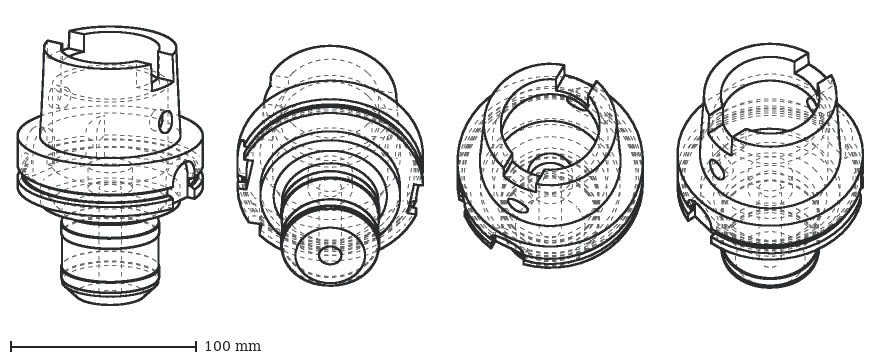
import cadquery as cq

TOTAL_HEIGHT = 140.0
FLANGE_TOP = 90.0
FLANGE_BOTTOM = 61.0
COLLAR_BOTTOM = 53.0
SHANK_TOP = 47.9

FLANGE_RADIUS = 50.0
TAPER_BASE_RADIUS = 38.0
TAPER_TOP_RADIUS = 35.7
COLLAR_RADIUS = 37.7
NECK_CONE_RADIUS = 30.5
SHANK_RADIUS = 26.0
NOSE_RADIUS = 18.8
NOSE_CHAMFER = SHANK_RADIUS - NOSE_RADIUS

GROOVE_TOP = 73.4
GROOVE_BOTTOM = 66.4
GROOVE_FLOOR_RADIUS = 46.3
GROOVE_BEVEL_WIDTH = 2.4
GROOVE_BEVEL_HEIGHT = 1.4

BAND_BOTTOMS = (9.2, 34.3)
BAND_HEIGHT = 6.5
BAND_RISE = 0.4

BORE_RADIUS = 26.6
BORE_LIP_DEPTH = 20.3
UNDERCUT_RADIUS = 31.1
BORE_FLOOR = 73.0
COUNTERBORE_RADIUS = 12.0
COUNTERBORE_FLOOR = 60.2
THROUGH_RADIUS = 6.0

SLOT_WIDTH = 19.7
LEFT_SLOT_DEPTH = 10.0
RIGHT_SLOT_DEPTH = 15.0
POCKET_TOP = 85.0
POCKET_FLOOR_X = 44.1
SIDE_POCKET_Y = 41.3
SIDE_POCKET_FLOOR_X = 31.8
CROSS_HOLE_RADIUS = 6.0
CROSS_HOLE_HEIGHT = 105.1


def make_cylinder(radius, bottom, top):
    return cq.Workplane("XY").workplane(offset=bottom).circle(radius).extrude(top - bottom)


def make_body():
    """Revolve the outer silhouette, including the gripper groove."""
    bevel_radius = FLANGE_RADIUS - GROOVE_BEVEL_WIDTH
    outline = [
        (0, 0),
        (NOSE_RADIUS, 0),
        (SHANK_RADIUS, NOSE_CHAMFER),
        (SHANK_RADIUS, SHANK_TOP),
        (NECK_CONE_RADIUS, COLLAR_BOTTOM),
        (COLLAR_RADIUS, COLLAR_BOTTOM),
        (COLLAR_RADIUS, FLANGE_BOTTOM),
        (FLANGE_RADIUS, FLANGE_BOTTOM),
        (FLANGE_RADIUS, GROOVE_BOTTOM),
        (bevel_radius, GROOVE_BOTTOM + GROOVE_BEVEL_HEIGHT),
        (GROOVE_FLOOR_RADIUS, GROOVE_BOTTOM + GROOVE_BEVEL_HEIGHT),
        (GROOVE_FLOOR_RADIUS, GROOVE_TOP - GROOVE_BEVEL_HEIGHT),
        (bevel_radius, GROOVE_TOP - GROOVE_BEVEL_HEIGHT),
        (FLANGE_RADIUS, GROOVE_TOP),
        (FLANGE_RADIUS, FLANGE_TOP),
        (TAPER_BASE_RADIUS, FLANGE_TOP),
        (TAPER_TOP_RADIUS, TOTAL_HEIGHT),
        (0, TOTAL_HEIGHT),
    ]
    return cq.Workplane("XZ").polyline(outline).close().revolve(360, (0, 0), (0, 1))


def make_band(bottom):
    band = make_cylinder(SHANK_RADIUS + BAND_RISE, bottom, bottom + BAND_HEIGHT)
    return band.faces("<Z or >Z").chamfer(BAND_RISE)


def make_bore():
    lip_bottom = TOTAL_HEIGHT - BORE_LIP_DEPTH
    return (
        make_cylinder(BORE_RADIUS, lip_bottom, TOTAL_HEIGHT)
        .union(make_cylinder(UNDERCUT_RADIUS, BORE_FLOOR, lip_bottom))
        .union(make_cylinder(COUNTERBORE_RADIUS, COUNTERBORE_FLOOR, BORE_FLOOR))
        .union(make_cylinder(THROUGH_RADIUS, 0, COUNTERBORE_FLOOR))
    )


def make_drive_slot(side, depth):
    """Cut tool for one slot in the taper rim; side is -1 for -X and +1 for +X."""
    return (
        cq.Workplane("XY")
        .box(FLANGE_RADIUS, SLOT_WIDTH, depth, centered=(True, True, False))
        .translate((side * FLANGE_RADIUS / 2, 0, TOTAL_HEIGHT - depth))
    )


def make_pocket(side, center_y, floor_x):
    """Round-topped cut tool from a flat floor out past the flange, open below."""
    radius = SLOT_WIDTH / 2
    arc_height = POCKET_TOP - radius
    return (
        cq.Workplane("YZ")
        .workplane(offset=side * floor_x)
        .moveTo(center_y - radius, FLANGE_BOTTOM)
        .lineTo(center_y - radius, arc_height)
        .threePointArc((center_y, POCKET_TOP), (center_y + radius, arc_height))
        .lineTo(center_y + radius, FLANGE_BOTTOM)
        .close()
        .extrude(side * FLANGE_RADIUS)
    )


result = make_body()
for band_bottom in BAND_BOTTOMS:
    result = result.union(make_band(band_bottom))
result = result.cut(make_bore())

result = result.cut(make_drive_slot(-1, LEFT_SLOT_DEPTH))
result = result.cut(make_drive_slot(1, RIGHT_SLOT_DEPTH))

for pocket_side in (-1, 1):
    result = result.cut(make_pocket(pocket_side, 0, POCKET_FLOOR_X))
result = result.cut(make_pocket(-1, SIDE_POCKET_Y, SIDE_POCKET_FLOOR_X))

cross_hole = (
    cq.Workplane("YZ")
    .center(0, CROSS_HOLE_HEIGHT)
    .circle(CROSS_HOLE_RADIUS)
    .extrude(FLANGE_RADIUS, both=True)
)
result = result.cut(cross_hole)